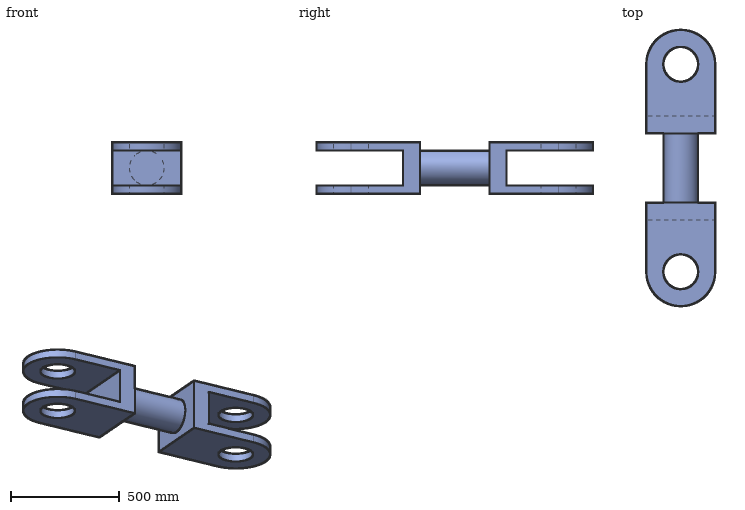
import cadquery as cq

total_length = 1270.0
fork_width = total_length / 4
fork_length = 1.5 * fork_width
slot_height = fork_width / 2
arm_thickness = fork_width / 8
fork_height = slot_height + 2 * arm_thickness
bridge_thickness = fork_width / 4
pin_diameter = fork_width / 2
rod_diameter = fork_width / 2

end_radius = fork_width / 2
pin_y = total_length / 2 - end_radius
fork_base_y = total_length / 2 - fork_length
slot_floor_y = fork_base_y + bridge_thickness


def make_fork():
    """Fork at the +Y end, with a rounded tip and an open slot between its arms."""
    body = (
        cq.Workplane("XY")
        .moveTo(-end_radius, fork_base_y)
        .lineTo(end_radius, fork_base_y)
        .lineTo(end_radius, pin_y)
        .threePointArc((0, total_length / 2), (-end_radius, pin_y))
        .close()
        .extrude(fork_height / 2, both=True)
    )
    slot = (
        cq.Workplane("XY")
        .box(fork_width, total_length / 2, slot_height, centered=(True, False, True))
        .translate((0, slot_floor_y, 0))
    )
    pin_hole = (
        cq.Workplane("XY")
        .center(0, pin_y)
        .circle(pin_diameter / 2)
        .extrude(fork_height, both=True)
    )
    return body.cut(slot).cut(pin_hole)


rod = cq.Workplane("XZ").circle(rod_diameter / 2).extrude(fork_base_y, both=True)

fork = make_fork()
result = rod.union(fork).union(fork.mirror("XZ"))